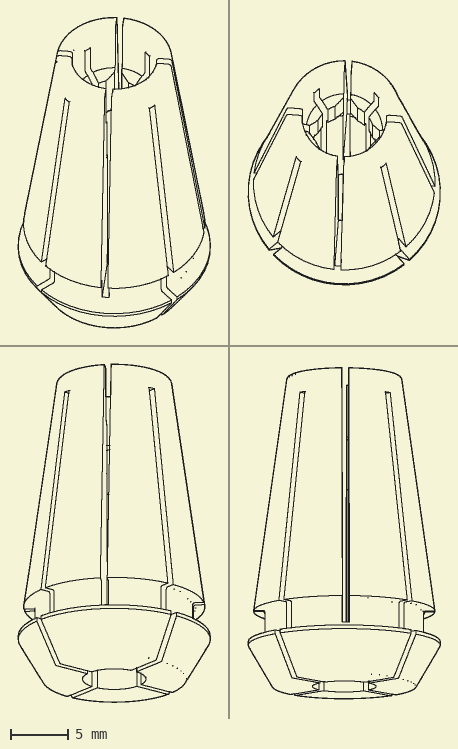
import cadquery as cq
import math

length = 27.5

flange_radius = 8.42
flange_bottom = 3.65
flange_top = 4.0
nose_half_angle = 30.0
nose_edge_fillet = 0.15

neck_radius = 6.95
neck_fillet = 0.2

body_bottom = 6.68
body_radius = 7.95
body_half_angle = 8.0
rim_fillet = 0.3

shank_radius = 2.78
drive_bottom = 18.0
drive_side = 4.78
drive_core_radius = 2.58
recess_radius = 3.7
recess_wall_bottom = 23.13
recess_fillet = 0.35
countersink_half_angle = 45.0

slit_width = 0.6
nose_slit_top = 25.52
rim_slit_bottom = 4.5


def revolve_profile(profile):
    """Turn a profile drawn in (radius, height) about the collet axis."""
    return profile.close().revolve(360, (0, 0, 0), (0, 1, 0))


def make_body():
    """Outside shape of the collet with its neck groove, still without a bore."""
    nose_radius = flange_radius - flange_bottom * math.tan(math.radians(nose_half_angle))
    rim_radius = body_radius - (length - body_bottom) * math.tan(math.radians(body_half_angle))
    neck_root_bottom = flange_top + neck_fillet
    neck_root_top = body_bottom - neck_fillet
    profile = (
        cq.Workplane("XZ")
        .lineTo(nose_radius, 0)
        .lineTo(flange_radius, flange_bottom)
        .lineTo(flange_radius, flange_top)
        .lineTo(neck_radius + neck_fillet, flange_top)
        .radiusArc((neck_radius, neck_root_bottom), neck_fillet)
        .lineTo(neck_radius, neck_root_top)
        .radiusArc((neck_radius + neck_fillet, body_bottom), neck_fillet)
        .lineTo(body_radius, body_bottom)
        .lineTo(rim_radius, length)
        .lineTo(0, length)
    )
    body = revolve_profile(profile)
    return body.faces("<Z").edges().fillet(nose_edge_fillet)


def make_recess():
    """Relief recess at the rim: straight wall, rounded foot and countersunk lead-in to the drive."""
    mouth_radius = recess_radius - recess_fillet
    floor_height = recess_wall_bottom - recess_fillet
    tip_height = floor_height - mouth_radius / math.tan(math.radians(countersink_half_angle))
    profile = (
        cq.Workplane("XZ")
        .moveTo(0, tip_height)
        .lineTo(mouth_radius, floor_height)
        .radiusArc((recess_radius, recess_wall_bottom), -recess_fillet)
        .lineTo(recess_radius, length)
        .lineTo(0, length)
    )
    return revolve_profile(profile)


def cut_bore(body):
    """Cut the shank bore, the square drive with its round core, and the recess."""
    drive_length = recess_wall_bottom - drive_bottom
    drive_plane = cq.Workplane("XY").workplane(offset=drive_bottom)
    shank = cq.Workplane("XY").circle(shank_radius).extrude(drive_bottom)
    square = drive_plane.rect(drive_side, drive_side).extrude(drive_length)
    core = drive_plane.circle(drive_core_radius).extrude(drive_length)
    return body.cut(shank).cut(square).cut(core).cut(make_recess())


def make_slit_cross(bottom, top, turn):
    """Two crossing slit blades between two heights, turned about the axis."""
    blade_length = 3 * flange_radius
    height = top - bottom
    plane = cq.Workplane("XY").workplane(offset=bottom)
    blade = plane.rect(blade_length, slit_width).extrude(height)
    crossing_blade = plane.rect(slit_width, blade_length).extrude(height)
    return blade.union(crossing_blade).rotate((0, 0, 0), (0, 0, 1), turn)


collet = cut_bore(make_body())
collet = collet.faces(">Z").edges().fillet(rim_fillet)
collet = collet.cut(make_slit_cross(0, nose_slit_top, 0))
result = collet.cut(make_slit_cross(rim_slit_bottom, length, 45))